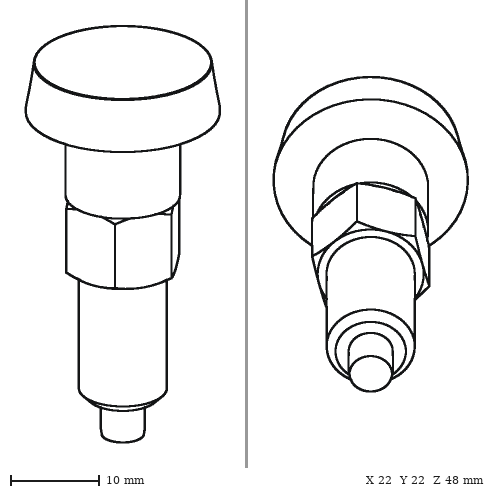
import cadquery as cq
import math

TOTAL_HEIGHT = 48.0
PIN_LENGTH = 5.0
HEX_BOTTOM = 21.0
HEX_TOP = 30.0
COLLAR_TOP = 39.0
RIM_BOTTOM = 40.3
RIM_TOP = 40.75
CROWN_HEIGHT = 46.45

PIN_RADIUS = 5.0 / 2
BARREL_RADIUS = 10.0 / 2
COLLAR_RADIUS = 13.0 / 2
RIM_RADIUS = 22.0 / 2
CROWN_RADIUS = 10.1
DOME_RADIUS = 8.3

CROWN_EDGE = 0.1
SIDE_HOLLOW = 0.05
BARREL_CHAMFER = 1.0
TIP_DOME_HEIGHT = 0.35
TIP_TAPER_HEIGHT = 0.6
TIP_TAPER_INSET = 0.1

HEX_ACROSS_FLATS = 12.0
HEX_HALF_SECTOR = 30.0
HEX_CHAMFER_ANGLE = 30.0


def revolve_profile(profile):
    """Turn a closed half-profile in the XZ plane about the Z axis."""
    return profile.close().revolve(360, (0, 0, 0), (0, 1, 0))


def dome_middle(edge_radius, edge_z, apex_z):
    """Return the point halfway along the arc from a dome's edge to its apex."""
    rise = apex_z - edge_z
    sphere_radius = (edge_radius**2 + rise**2) / (2 * rise)
    half_angle = math.asin(edge_radius / sphere_radius) / 2
    center_z = apex_z - sphere_radius
    return sphere_radius * math.sin(half_angle), center_z + sphere_radius * math.cos(half_angle)


def make_plunger():
    """Domed pin and the chamfered barrel above it."""
    tip_radius = PIN_RADIUS - TIP_TAPER_INSET
    profile = (
        cq.Workplane("XZ")
        .threePointArc(dome_middle(tip_radius, TIP_DOME_HEIGHT, 0), (tip_radius, TIP_DOME_HEIGHT))
        .lineTo(PIN_RADIUS, TIP_DOME_HEIGHT + TIP_TAPER_HEIGHT)
        .lineTo(PIN_RADIUS, PIN_LENGTH)
        .lineTo(BARREL_RADIUS - BARREL_CHAMFER, PIN_LENGTH)
        .lineTo(BARREL_RADIUS, PIN_LENGTH + BARREL_CHAMFER)
        .lineTo(BARREL_RADIUS, HEX_BOTTOM)
        .lineTo(0, HEX_BOTTOM)
    )
    return revolve_profile(profile)


def make_hexagon():
    """Hexagon whose corners are turned down by a cone at each end."""
    flat_radius = HEX_ACROSS_FLATS / 2
    corner_radius = flat_radius / math.cos(math.radians(HEX_HALF_SECTOR))
    corner_drop = (corner_radius - flat_radius) * math.tan(math.radians(HEX_CHAMFER_ANGLE))
    prism = (
        cq.Workplane("XY")
        .workplane(offset=HEX_BOTTOM)
        .polygon(6, 2 * corner_radius)
        .extrude(HEX_TOP - HEX_BOTTOM)
        .rotate((0, 0, 0), (0, 0, 1), HEX_HALF_SECTOR)
    )
    envelope = revolve_profile(
        cq.Workplane("XZ")
        .moveTo(0, HEX_BOTTOM)
        .lineTo(flat_radius, HEX_BOTTOM)
        .lineTo(corner_radius, HEX_BOTTOM + corner_drop)
        .lineTo(corner_radius, HEX_TOP - corner_drop)
        .lineTo(flat_radius, HEX_TOP)
        .lineTo(0, HEX_TOP)
    )
    return prism.intersect(envelope)


def make_knob():
    """Collar and flared knob head with a domed crown."""
    side_top = CROWN_HEIGHT - CROWN_EDGE
    side_middle = ((RIM_RADIUS + CROWN_RADIUS) / 2 - SIDE_HOLLOW, (RIM_TOP + side_top) / 2)
    profile = (
        cq.Workplane("XZ")
        .moveTo(0, HEX_TOP)
        .lineTo(COLLAR_RADIUS, HEX_TOP)
        .lineTo(COLLAR_RADIUS, COLLAR_TOP)
        .lineTo(RIM_RADIUS, RIM_BOTTOM)
        .lineTo(RIM_RADIUS, RIM_TOP)
        .threePointArc(side_middle, (CROWN_RADIUS, side_top))
        .lineTo(CROWN_RADIUS - CROWN_EDGE, CROWN_HEIGHT)
        .lineTo(DOME_RADIUS, CROWN_HEIGHT)
        .threePointArc(dome_middle(DOME_RADIUS, CROWN_HEIGHT, TOTAL_HEIGHT), (0, TOTAL_HEIGHT))
    )
    return revolve_profile(profile)


result = make_plunger().union(make_hexagon()).union(make_knob())